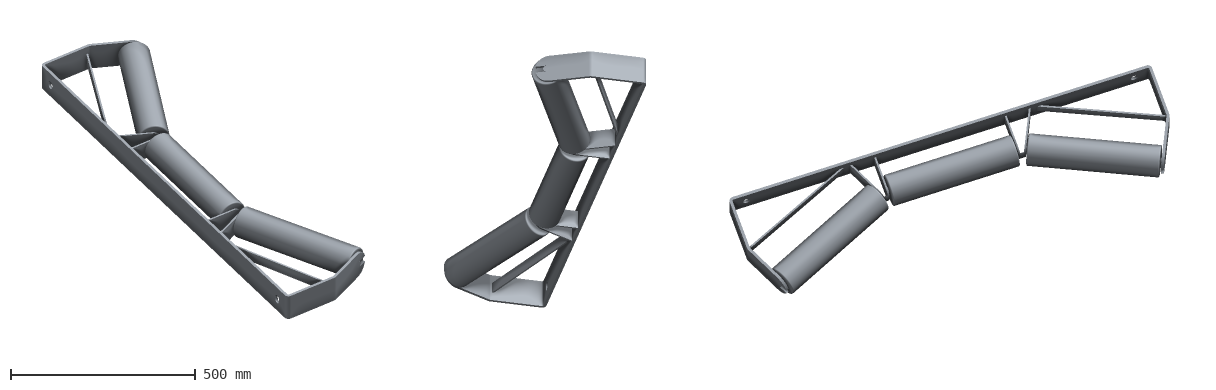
import cadquery as cq
import math

FRAME_LENGTH = 1210.0
FRAME_HEIGHT = 79.0
PLATE = 8.0
CORNER_RADIUS = 12.0
BEND_RADIUS = 19.0
BEND_Y = 157.0
TAB_LENGTH = 154.0
TAB_END_RADIUS = 39.0
TROUGH_ANGLE = 25.0
MOUNT_HOLE_INSET = 50.0
MOUNT_HOLE_WIDTH = 18.0
MOUNT_HOLE_HEIGHT = 25.0

ROLLER_DIAMETER = 88.0
ROLLER_LENGTH = 362.0
ROLLER_ROUND = 4.0
SHAFT_DIAMETER = 18.0
END_GAP = 4.0
MIDDLE_AXIS_Y = 102.0
INNER_DROP = 7.7
SHAFT_ALONG_TAB = 122.0

BRACKET_PLATE = 5.0
BRACKET_HEIGHT = 53.0
BRACKET_TOP_Y = 126.0
BRACKET_ROUND = 23.0
FOLD_RADIUS = 10.0

BRACE_PLATE = 5.0
BRACE_HEIGHT = 30.0
BRACE_WALL_Y = 150.0
BRACE_FOOT_X = -277.0

SELECTION_REACH = 1.0

HALF_LENGTH = FRAME_LENGTH / 2
COS = math.cos(math.radians(TROUGH_ANGLE))
SIN = math.sin(math.radians(TROUGH_ANGLE))
TAB_LEAN = math.tan(math.radians(TROUGH_ANGLE))
ROLLER_REACH = ROLLER_LENGTH / 2 + END_GAP
OUTER_REACH = ROLLER_REACH + PLATE
INNER_REACH = ROLLER_REACH + BRACKET_PLATE
SIDE_TILT = math.degrees(math.asin(INNER_DROP / (OUTER_REACH + INNER_REACH)))

SIDE_CENTER = (
    -HALF_LENGTH + SHAFT_ALONG_TAB * SIN + OUTER_REACH * COS,
    BEND_Y + SHAFT_ALONG_TAB * COS - OUTER_REACH * SIN,
    -OUTER_REACH * math.sin(math.radians(SIDE_TILT)),
)


def mirrored(body):
    """Right-hand copy of a left-hand body."""
    return body.mirror("YZ")


def side_placed(body):
    """Move a body built along X about the origin onto the left roller axis."""
    return (
        body.rotate((0, 0, 0), (0, 1, 0), SIDE_TILT)
        .rotate((0, 0, 0), (0, 0, 1), -TROUGH_ANGLE)
        .translate(SIDE_CENTER)
    )


def middle_placed(body):
    """Move a body built along X about the origin onto the middle roller axis."""
    return body.translate((0, MIDDLE_AXIS_Y, -INNER_DROP))


def x_cylinder(diameter, start, end):
    """Cylinder about the X axis from one X position to another."""
    return cq.Workplane("YZ").workplane(offset=start).circle(diameter / 2).extrude(end - start)


def make_roller(left_reach, right_reach):
    """Roller about the X axis with shaft ends that reach the given distances from its middle."""
    shell = x_cylinder(ROLLER_DIAMETER, -ROLLER_LENGTH / 2, ROLLER_LENGTH / 2)
    shell = shell.edges().fillet(ROLLER_ROUND)
    return shell.union(x_cylinder(SHAFT_DIAMETER, -left_reach, right_reach))


def shaft_slot():
    """Open slot for the outer shaft end, running to the free end of the tab."""
    start = -OUTER_REACH - END_GAP
    end = -ROLLER_REACH + END_GAP
    bore = x_cylinder(SHAFT_DIAMETER, start, end)
    mouth = (
        cq.Workplane("YZ")
        .workplane(offset=start)
        .center(TAB_LENGTH / 2, 0)
        .rect(TAB_LENGTH, SHAFT_DIAMETER)
        .extrude(end - start)
    )
    return side_placed(bore.union(mouth))


def edges_at(x, y):
    """Selector for the edge parallel to Z that passes through the point (x, y)."""
    reach = SELECTION_REACH
    return cq.selectors.BoxSelector(
        (x - reach, y - reach, -FRAME_HEIGHT),
        (x + reach, y + reach, FRAME_HEIGHT),
    )


def half_frame():
    """Left half of the bent strip, with its mounting hole and open shaft slot."""
    inner_x = -HALF_LENGTH + PLATE
    inner_bend_y = BEND_Y - PLATE * math.tan(math.radians(TROUGH_ANGLE / 2))
    tip_x = -HALF_LENGTH + TAB_LENGTH * SIN
    tip_y = BEND_Y + TAB_LENGTH * COS
    inner_tip_x = tip_x + PLATE * COS
    inner_tip_y = tip_y - PLATE * SIN
    strip = (
        cq.Workplane("XY")
        .polyline([
            (0, 0),
            (-HALF_LENGTH, 0),
            (-HALF_LENGTH, BEND_Y),
            (tip_x, tip_y),
            (inner_tip_x, inner_tip_y),
            (inner_x, inner_bend_y),
            (inner_x, PLATE),
            (0, PLATE),
        ])
        .close()
        .extrude(FRAME_HEIGHT / 2, both=True)
    )
    strip = strip.edges(edges_at(-HALF_LENGTH, 0)).fillet(CORNER_RADIUS)
    strip = strip.edges(edges_at(inner_x, PLATE)).fillet(CORNER_RADIUS - PLATE)
    strip = strip.edges(edges_at(-HALF_LENGTH, BEND_Y)).fillet(BEND_RADIUS)
    strip = strip.edges(edges_at(inner_x, inner_bend_y)).fillet(BEND_RADIUS - PLATE)

    tip_edges = cq.selectors.BoxSelector(
        (tip_x - SELECTION_REACH, inner_tip_y - SELECTION_REACH, -FRAME_HEIGHT),
        (inner_tip_x + SELECTION_REACH, tip_y + SELECTION_REACH, FRAME_HEIGHT),
    )
    strip = strip.edges(tip_edges).edges("not |Z").fillet(TAB_END_RADIUS)

    hole = (
        cq.Workplane("XZ")
        .center(-HALF_LENGTH + MOUNT_HOLE_INSET, 0)
        .slot2D(MOUNT_HOLE_HEIGHT, MOUNT_HOLE_WIDTH, 90)
        .extrude(-PLATE)
    )
    return strip.cut(hole).cut(shaft_slot())


def make_frame():
    """Whole frame: one strip, symmetric about the middle."""
    left = half_frame()
    return left.union(mirrored(left))


def make_bracket():
    """Left inner bracket: a folded strip that carries one end of a side and of the middle roller."""
    face_x = SIDE_CENTER[0] + ROLLER_REACH * COS
    face_y = SIDE_CENTER[1] - ROLLER_REACH * SIN
    leg_width = BRACKET_PLATE / COS
    upright_x = -ROLLER_REACH
    upright_inner_x = upright_x - BRACKET_PLATE
    inner_top_y = BRACKET_TOP_Y - BRACKET_PLATE

    def lean_x(y):
        return face_x + (y - face_y) * TAB_LEAN

    strip = (
        cq.Workplane("XY")
        .polyline([
            (lean_x(PLATE), PLATE),
            (lean_x(BRACKET_TOP_Y), BRACKET_TOP_Y),
            (upright_x, BRACKET_TOP_Y),
            (upright_x, PLATE),
            (upright_inner_x, PLATE),
            (upright_inner_x, inner_top_y),
            (lean_x(inner_top_y) + leg_width, inner_top_y),
            (lean_x(PLATE) + leg_width, PLATE),
        ])
        .close()
        .extrude(BRACKET_HEIGHT / 2, both=True)
        .edges(edges_at(upright_x, BRACKET_TOP_Y))
        .fillet(FOLD_RADIUS)
    )
    outline = (
        cq.Workplane("YZ")
        .rect(2 * BRACKET_TOP_Y, BRACKET_HEIGHT)
        .extrude(-HALF_LENGTH)
        .edges("|X and >Y")
        .fillet(BRACKET_ROUND)
    )
    bracket = strip.intersect(outline).translate((0, 0, -INNER_DROP))
    side_bore = side_placed(x_cylinder(SHAFT_DIAMETER, 0, INNER_REACH + END_GAP))
    middle_bore = middle_placed(x_cylinder(SHAFT_DIAMETER, -INNER_REACH - END_GAP, 0))
    return bracket.cut(side_bore).cut(middle_bore)


def make_brace():
    """Left brace: a flat bar from the upright side of the frame down to its long side."""
    wall_x = -HALF_LENGTH + PLATE
    angle = math.atan2(BRACE_WALL_Y - PLATE, BRACE_FOOT_X - wall_x)
    return (
        cq.Workplane("XY")
        .polyline([
            (wall_x, BRACE_WALL_Y),
            (BRACE_FOOT_X, PLATE),
            (BRACE_FOOT_X - BRACE_PLATE / math.sin(angle), PLATE),
            (wall_x, BRACE_WALL_Y - BRACE_PLATE / math.cos(angle)),
        ])
        .close()
        .extrude(BRACE_HEIGHT / 2, both=True)
    )


frame = make_frame()
bracket = make_bracket()
brace = make_brace()
side_roller = side_placed(make_roller(OUTER_REACH, INNER_REACH))
middle_roller = middle_placed(make_roller(INNER_REACH, INNER_REACH))

bodies = [frame, middle_roller]
for body in (bracket, brace, side_roller):
    bodies += [body, mirrored(body)]
result = cq.Compound.makeCompound([body.val() for body in bodies])